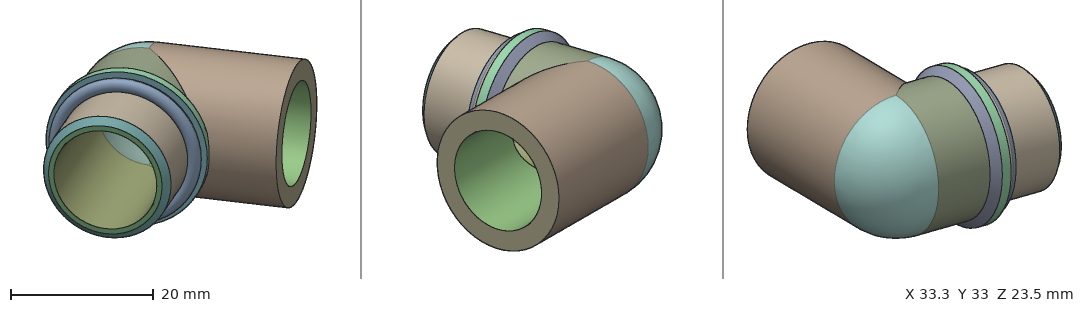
import cadquery as cq

body_diameter = 21.0
bore_diameter = 15.0
spigot_diameter = 18.6
flange_diameter = 23.5
overall_x = 33.25
overall_y = 33.0

flange_start = 8.78
flange_end = 11.5
flange_bevel = 1.23

ring_outer_diameter = 22.15
ring_section_radius = 1.0
ring_position = 12.3

spigot_chamfer_length = 1.0
spigot_chamfer_depth = 1.03

body_radius = body_diameter / 2
bore_radius = bore_diameter / 2
spigot_radius = spigot_diameter / 2
flange_radius = flange_diameter / 2
outlet_length = overall_x - flange_radius
spigot_end = overall_y - body_radius
ring_centre_radius = ring_outer_diameter / 2 - ring_section_radius


def elbow(radius, x_length, y_length):
    """Solid elbow: a ball joining a +X cylinder and a -Y cylinder."""
    ball = cq.Workplane("XY").sphere(radius)
    x_leg = cq.Workplane("YZ").circle(radius).extrude(x_length)
    y_leg = cq.Workplane("XZ").circle(radius).extrude(y_length)
    return x_leg.union(y_leg).union(ball)


def flange_and_spigot():
    """Bevelled flange and chamfered spigot turned about the Y axis."""
    return (
        cq.Workplane("XY")
        .moveTo(0, -flange_start)
        .lineTo(body_radius, -flange_start)
        .lineTo(flange_radius, -(flange_start + flange_bevel))
        .lineTo(flange_radius, -flange_end)
        .lineTo(spigot_radius, -flange_end)
        .lineTo(spigot_radius, -(spigot_end - spigot_chamfer_length))
        .lineTo(spigot_radius - spigot_chamfer_depth, -spigot_end)
        .lineTo(0, -spigot_end)
        .close()
        .revolve(360, (0, 0, 0), (0, 1, 0))
    )


def seal_ring():
    """Round sealing ring, partly sunk into the spigot and the flange face."""
    return (
        cq.Workplane("XY")
        .center(ring_centre_radius, -ring_position)
        .circle(ring_section_radius)
        .revolve(360, (-ring_centre_radius, 0, 0), (-ring_centre_radius, 1, 0))
    )


outside = elbow(body_radius, outlet_length, flange_start).union(flange_and_spigot()).union(seal_ring())
passage = elbow(bore_radius, outlet_length, spigot_end)

result = outside.cut(passage)